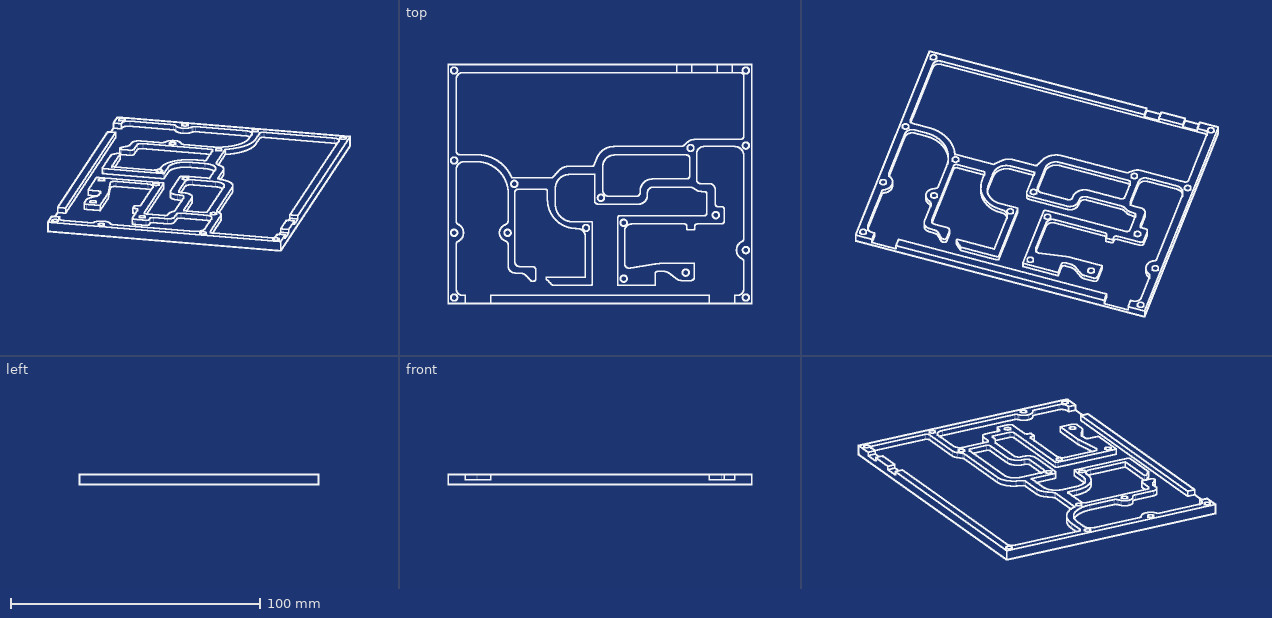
import cadquery as cq
import math

length = 122.0
width = 96.0
height = 4.0
rim = 3.3
floor_height = 1.8

left = rim
right = length - rim
front = rim
back = width - rim

hole_diameter = 2.6
edge_inset = 2.5
left_boss_y = 28.4
right_boss_y = 21.5
rib_boss_x = 23.9
rim_boss_radius = 3.8
rib_boss_radius = 3.3
boss_flank_angle = 60
apex_fill = 0.99
rim_boss_blend = 1.2
rib_boss_blend = 1.7

left_rib_x = 24.2
left_rib_top = 57.0
entry_rib_top = 59.8
middle_rib_top = 50.5
loop_top = 63.1
right_rib_top = 65.9
corner_ease = 2.6

left_rib_inner_x = 26.8
left_rib_foot_x = 35.3
hook_outer_x = 58.0
hook_inner_x = 55.1
hook_foot_y = 7.3
hook_foot_top = 10.6
hook_top_y = 32.8
hook_under_y = 30.1
hook_bend_outer_x = 39.9
hook_bend_inner_x = 43.1
loop_rib_left_x = 58.8
loop_rib_bottom_y = 39.9
loop_rib_step_x = 80.0
loop_rib_step_y = 46.7
bracket_outer_x = 68.2
bracket_inner_x = 70.9
bracket_top_y = 35.3
bracket_under_y = 32.0
bracket_foot_x = 83.1
bracket_arm_x = 98.8
screw_pad_x = 110.9
screw_pad_top = 38.9
right_rib_x = 99.8
right_rib_shelf_y = 48.2
right_rib_drop_x = 107.2
rib_end_x = 104.0
loop_left_x = 62.1
loop_right_x = 97.0
loop_step_x = 77.1
loop_back_y = 59.7
loop_shelf_y = 50.0
loop_front_y = 43.1
arch_top = 55.1
arch_under_y = 51.8

hole_centers = [
    (edge_inset, edge_inset),
    (edge_inset, left_boss_y),
    (edge_inset, 57.5),
    (edge_inset, width - edge_inset),
    (length - edge_inset, edge_inset),
    (length - edge_inset, right_boss_y),
    (length - edge_inset, 63.5),
    (length - edge_inset, width - edge_inset),
    (rib_boss_x, left_boss_y),
    (26.6, 48.1),
    (55.4, 30.4),
    (61.4, 42.5),
    (97.4, 62.5),
    (107.5, 35.5),
    (70.5, 32.5),
    (70.5, 10.0),
    (95.4, 12.5),
]

front_notches = [(7.0, 17.1), (104.9, 115.0)]
back_notches = [(91.7, 97.8), (108.0, 114.1)]
back_notch_depth = 1.5


def rounded_outline(corners):
    """Closed outline through (x, y, radius) corners; radius 0 leaves the corner sharp."""
    arcs = []
    for i, (x, y, radius) in enumerate(corners):
        corner = cq.Vector(x, y)
        before = (cq.Vector(*corners[i - 1][:2]) - corner).normalized()
        after = (cq.Vector(*corners[(i + 1) % len(corners)][:2]) - corner).normalized()
        half_angle = before.getAngle(after) / 2
        setback = radius / math.tan(half_angle)
        to_middle = radius / math.sin(half_angle) - radius
        middle = corner + (before + after).normalized() * to_middle
        arcs.append((corner + before * setback, middle, corner + after * setback, radius))

    outline = cq.Workplane("XY").workplane(offset=floor_height).moveTo(*arcs[0][2].toTuple()[:2])
    for start, middle, end, radius in arcs[1:] + arcs[:1]:
        outline = outline.lineTo(start.x, start.y)
        if radius > 0:
            outline = outline.threePointArc((middle.x, middle.y), (end.x, end.y))
    return outline.close()


def boss_bulge(wall_x, center_x, center_y, boss_radius, blend, side, heading):
    """Corners of a round bulge around a screw hole.

    side is +1 or -1 for a bulge toward +X or -X, heading is +1 or -1 for a wall followed up or down.
    """
    flank = math.radians(boss_flank_angle)
    apex_x = center_x + side * boss_radius
    wall_reach = (boss_radius - side * (wall_x - center_x) * math.cos(flank)) / math.sin(flank)
    apex_reach = boss_radius * math.tan(flank / 2)
    apex_round = apex_fill * boss_radius
    return [
        (wall_x, center_y - heading * wall_reach, blend),
        (apex_x, center_y - heading * apex_reach, apex_round),
        (apex_x, center_y + heading * apex_reach, apex_round),
        (wall_x, center_y + heading * wall_reach, blend),
    ]


back_pocket = [
    (left, back, corner_ease),
    (right, back, 1.3),
    (right, right_rib_top, 1.3),
    (97.4, right_rib_top, 3.7),
    (94.2, loop_top, 1.2),
    (61.6, loop_top, 7.3),
    (58.4, arch_top, 0.6),
    (46.1, arch_top, 5.6),
    (41.8, middle_rib_top, 0.4),
    (25.6, middle_rib_top, 0),
    (21.6, entry_rib_top, 15.1),
    (left, entry_rib_top, 1.5),
]

loop_pocket = [
    (loop_left_x, loop_back_y, 4.6),
    (loop_right_x, loop_back_y, 1.2),
    (loop_right_x, loop_shelf_y, 1.2),
    (loop_step_x, loop_shelf_y, 4.9),
    (loop_step_x, loop_front_y, 1.5),
    (loop_left_x, loop_front_y, 2.5),
]

left_rim_side = [
    (left, front, corner_ease),
    *boss_bulge(left, edge_inset, left_boss_y, rim_boss_radius, rim_boss_blend, 1, 1),
    (left, left_rib_top, 3.2),
]
left_rib = [
    (left_rib_x, left_rib_top, 12.7),
    *boss_bulge(left_rib_x, rib_boss_x, left_boss_y, rib_boss_radius, rib_boss_blend, -1, -1),
    (left_rib_x, 12.5, 2.8),
    (30.5, 12.1, 2.5),
    (33.4, 9.0, 0.5),
    (left_rib_foot_x, 9.0, 1.0),
    (left_rib_foot_x, 14.9, 1.5),
    (left_rib_inner_x, 14.9, 1.8),
    (left_rib_inner_x, 45.9, 1.1),
]
hooked_rib = [
    (hook_bend_outer_x, 45.9, 0.7),
    (hook_bend_outer_x, hook_under_y, 11.6),
    (hook_inner_x, hook_under_y, 3.3),
    (hook_inner_x, hook_foot_top, 0),
    (38.7, hook_foot_top, 0.5),
    (42.0, hook_foot_y, 0),
    (hook_outer_x, hook_foot_y, 0.6),
    (hook_outer_x, hook_top_y, 0.4),
    (hook_bend_inner_x, hook_top_y, 7.1),
    (hook_bend_inner_x, arch_under_y, 5.6),
    (loop_rib_left_x, arch_under_y, 0),
]
loop_rib = [
    (loop_rib_left_x, loop_rib_bottom_y, 1.6),
    (loop_rib_step_x, loop_rib_bottom_y, 3.7),
    (loop_rib_step_x, loop_rib_step_y, 2.2),
    (97.8, loop_rib_step_y, 2.5),
    (100.4, 45.1, 2.5),
    (rib_end_x, 44.8, 0.9),
]
bracket_rib = [
    (rib_end_x, bracket_top_y, 1.2),
    (bracket_outer_x, bracket_top_y, 0.7),
    (bracket_outer_x, 7.5, 0),
    (bracket_foot_x, 7.5, 0),
    (bracket_foot_x, 12.9, 1.1),
    (87.8, 12.9, 3.7),
    (92.6, 9.3, 3.0),
    (bracket_arm_x, 9.3, 1.2),
    (bracket_arm_x, 16.1, 0),
    (84.4, 16.1, 6.1),
    (bracket_inner_x, 13.9, 1.8),
    (bracket_inner_x, bracket_under_y, 2.8),
    (95.9, bracket_under_y, 1.0),
    (95.9, 29.6, 0.2),
    (99.0, 29.6, 0.2),
    (99.0, bracket_under_y, 1.1),
    (screw_pad_x, bracket_under_y, 1.2),
    (screw_pad_x, screw_pad_top, 1.1),
    (right_rib_drop_x, screw_pad_top, 1.1),
    (right_rib_drop_x, right_rib_shelf_y, 2.5),
    (right_rib_x, right_rib_shelf_y, 1.5),
]
right_rim_side = [
    (right_rib_x, loop_top, 2.9),
    (right, loop_top, 3.7),
    *boss_bulge(right, length - edge_inset, right_boss_y, rim_boss_radius, rim_boss_blend, -1, -1),
    (right, front, corner_ease),
]
front_pocket = left_rim_side + left_rib + hooked_rib + loop_rib + bracket_rib + right_rim_side


def rim_notch(start_x, end_x, start_y, depth):
    """Block that opens the rim from start_y inward over the rim width."""
    block = cq.Workplane("XY").box(end_x - start_x, rim, depth, centered=False)
    return block.translate((start_x, start_y, height - depth))


plate = cq.Workplane("XY").box(length, width, height, centered=False)

for pocket in (back_pocket, loop_pocket, front_pocket):
    plate = plate.cut(rounded_outline(pocket).extrude(height - floor_height))

for start_x, end_x in front_notches:
    plate = plate.cut(rim_notch(start_x, end_x, 0, height - floor_height))
for start_x, end_x in back_notches:
    plate = plate.cut(rim_notch(start_x, end_x, back, back_notch_depth))

holes = cq.Workplane("XY").pushPoints(hole_centers).circle(hole_diameter / 2).extrude(height)
plate = plate.cut(holes)

result = plate.translate((-length / 2, -width / 2, -height / 2))